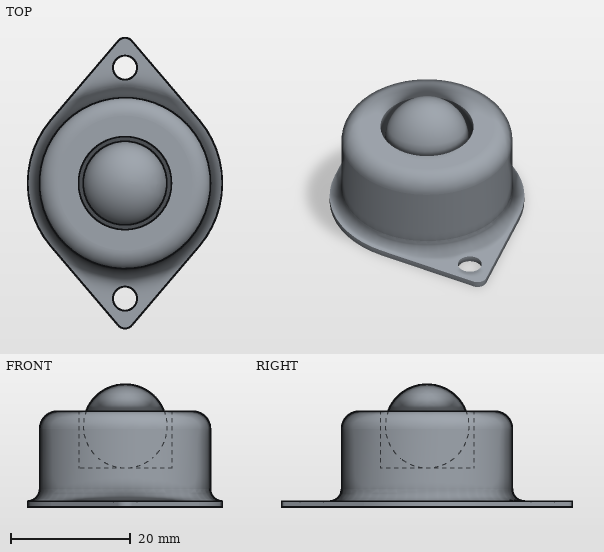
import cadquery as cq
import math

length = 48.5
flange_diameter = 32.5
plate_thickness = 1.0
tip_radius = 1.5
hole_diameter = 4.0
hole_spacing = 38.5

cup_diameter = 28.5
cup_top = 16.0
top_round = 3.0
pocket_diameter = 15.5

ball_diameter = 13.95
ball_top = 20.5

flange_radius = flange_diameter / 2
cup_radius = cup_diameter / 2
foot_round = flange_radius - cup_radius
pocket_floor = ball_top - ball_diameter


def make_plate():
    """Round flange with two pointed ears whose straight sides run tangent to both arcs."""
    tip_center = length / 2 - tip_radius
    normal_y = (flange_radius - tip_radius) / tip_center
    normal_x = math.sqrt(1 - normal_y**2)
    side_x = flange_radius * normal_x
    side_y = flange_radius * normal_y
    ear_x = tip_radius * normal_x
    ear_y = tip_center + tip_radius * normal_y
    plate = (
        cq.Workplane("XY")
        .moveTo(side_x, -side_y)
        .threePointArc((flange_radius, 0), (side_x, side_y))
        .lineTo(ear_x, ear_y)
        .threePointArc((0, length / 2), (-ear_x, ear_y))
        .lineTo(-side_x, side_y)
        .threePointArc((-flange_radius, 0), (-side_x, -side_y))
        .lineTo(-ear_x, -ear_y)
        .threePointArc((0, -length / 2), (ear_x, -ear_y))
        .close()
        .extrude(plate_thickness)
    )
    holes = (
        cq.Workplane("XY")
        .rarray(0.5, hole_spacing, 1, 2)
        .circle(hole_diameter / 2)
        .extrude(plate_thickness)
    )
    return plate.cut(holes)


def make_cup():
    """Revolved cup with a concave foot, a rounded top edge and a blind pocket for the ball."""
    foot_arc_offset = foot_round * (1 - math.sqrt(0.5))
    top_arc_offset = top_round * (1 - math.sqrt(0.5))
    pocket_radius = pocket_diameter / 2
    return (
        cq.Workplane("XZ")
        .lineTo(flange_radius, 0)
        .lineTo(flange_radius, plate_thickness)
        .threePointArc(
            (cup_radius + foot_arc_offset, plate_thickness + foot_arc_offset),
            (cup_radius, plate_thickness + foot_round),
        )
        .lineTo(cup_radius, cup_top - top_round)
        .threePointArc(
            (cup_radius - top_arc_offset, cup_top - top_arc_offset),
            (cup_radius - top_round, cup_top),
        )
        .lineTo(pocket_radius, cup_top)
        .lineTo(pocket_radius, pocket_floor)
        .lineTo(0, pocket_floor)
        .close()
        .revolve(360, (0, 0, 0), (0, 1, 0))
    )


def make_ball():
    """Ball that touches the pocket floor and stands out above the cup."""
    ball_radius = ball_diameter / 2
    return cq.Workplane("XY").sphere(ball_radius).translate((0, 0, ball_top - ball_radius))


housing = make_plate().union(make_cup())
ball = make_ball()

result = cq.Compound.makeCompound([housing.val(), ball.val()])